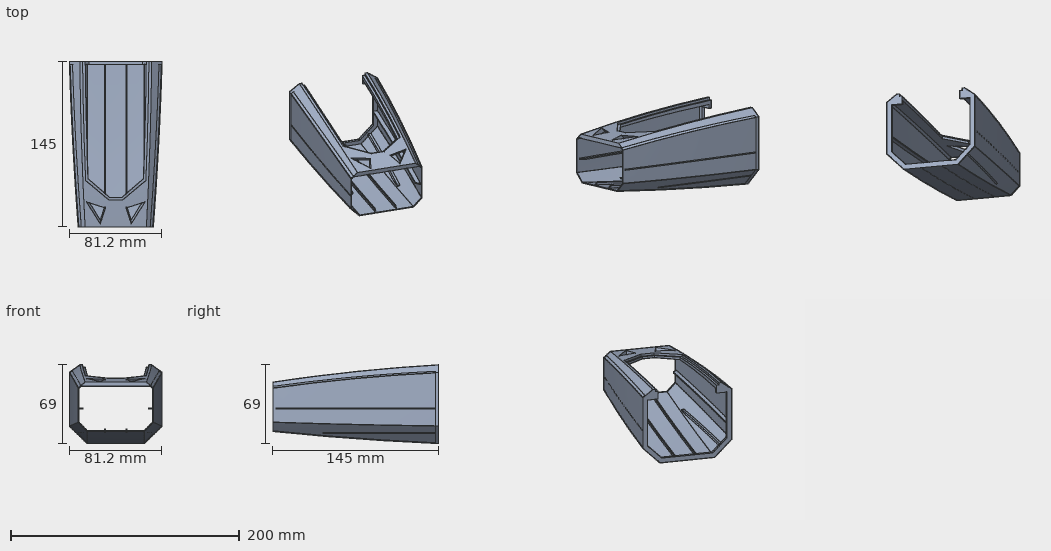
import cadquery as cq

LENGTH = 145.0

SIDE_X = (32.9, 40.615, 0.85)
TOP_EDGE_X = (26.8, 31.4, 0.8)
BOTTOM_EDGE_X = (25.0, 25.0, 0.0)
BOTTOM_Z = (10.6, 0.0, -1.1)
LOWER_CORNER_Z = (18.6, 15.3, -0.4)
UPPER_CORNER_Z = (48.7, 62.3, 1.7)
TOP_Z = (53.8, 69.0, 1.7)

WALL = 0.7
ROOF_THICKNESS = (3.7, 5.6, 0.0)

COLLAR_LENGTH = 2.7
COLLAR_HEIGHT = 3.7

LEDGE_WIDTH = 2.3
LEDGE_DEPTH = 2.0
RECESS_MARGIN = 2.4
RECESS_CORNER_Y = 40.7
RECESS_FRONT_Y = 23.8
RECESS_FRONT_HALF_WIDTH = 6.0
OPENING_CORNER_Y = 42.2
OPENING_FRONT_Y = RECESS_FRONT_Y + LEDGE_WIDTH
OPENING_FRONT_HALF_WIDTH = 5.5
OPENING_FLOOR_Z = 45.0

RIB_THICKNESS = 1.0
RIB_FRONT_Y = 2.4
SIDE_RIB_Z = 30.7
SIDE_RIB_HEIGHT = 4.0
FLOOR_RIB_X = 9.5
FLOOR_RIB_HEIGHT = 2.0
CORNER_RIB_Z = 9.2
CORNER_RIB_HEIGHT = 1.5
CORNER_RIB_FRONT_Y = 44.0

VENT_CORNERS = [(9.0, 16.8), (25.5, 21.9), (13.5, 2.9)]
VENT_TOP_Z = 60.0
VENT_DROP = 14.0
VENT_SLOPE = 1.0

FAR = 100.0


def along(profile, y):
    """Value of a (front, rear, bulge) profile at the distance y from the front end."""
    front, rear, bulge = profile
    t = y / LENGTH
    return front + (rear - front) * t + 4 * bulge * t * (1 - t)


def curve(profile, start, end, shift=0.0):
    """Start, middle and end points (y, value) of a profile, moved by shift."""
    return [(y, along(profile, y) + shift) for y in (start, (start + end) / 2, end)]


def section(y, inset=0.0):
    """Octagonal cross-section wire at y, moved inwards by inset."""
    right = [
        (along(BOTTOM_EDGE_X, y), along(BOTTOM_Z, y)),
        (along(SIDE_X, y), along(LOWER_CORNER_Z, y)),
        (along(SIDE_X, y), along(UPPER_CORNER_Z, y)),
        (along(TOP_EDGE_X, y), along(TOP_Z, y)),
    ]
    left = [(-x, z) for x, z in reversed(right)]
    outline = cq.Workplane("XZ", origin=(0, y, 0)).polyline(right + left).close()
    if inset:
        outline = outline.offset2D(-inset, "intersection")
    return outline.wires().val()


def tapered_body(inset=0.0):
    """Smooth loft through the front, middle and rear sections."""
    wires = [section(y, inset) for y in (0, LENGTH / 2, LENGTH)]
    return cq.Workplane(cq.Solid.makeLoft(wires))


def side_view_solid(lower, upper):
    """Full-width solid between a lower and an upper (y, z) curve."""
    return (
        cq.Workplane("YZ")
        .moveTo(*lower[0])
        .spline(lower[1:], includeCurrent=True)
        .lineTo(*upper[-1])
        .spline(upper[-2::-1], includeCurrent=True)
        .close()
        .extrude(FAR, both=True)
    )


def cavity():
    """Inner space: the body inset by the wall, closed above by the thicker roof."""
    roof_z = tuple(top - roof for top, roof in zip(TOP_Z, ROOF_THICKNESS))
    below_roof = side_view_solid(curve(TOP_Z, 0, LENGTH, -FAR), curve(roof_z, 0, LENGTH))
    return tapered_body(WALL).intersect(below_roof)


def collar():
    """Rear rim that narrows the cavity by the collar height on every side."""
    slab = (
        cq.Workplane("XY", origin=(0, LENGTH - COLLAR_LENGTH / 2, 0))
        .box(2 * FAR, COLLAR_LENGTH, 2 * FAR)
    )
    bore_wire = section(LENGTH, WALL + COLLAR_HEIGHT)
    bore = cq.Workplane(cq.Solid.extrudeLinear(bore_wire, [], cq.Vector(0, -LENGTH, 0)))
    bore_top = TOP_Z[1] - ROOF_THICKNESS[1] - COLLAR_HEIGHT
    above_bore = cq.Workplane("XY", origin=(0, 0, bore_top)).rect(4 * FAR, 4 * FAR).extrude(FAR)
    return tapered_body().intersect(slab).cut(bore.cut(above_bore))


def roof_outline(margin, corner_y, front_y, front_half_width):
    """Upright prism over a plan outline whose sides follow the roof edges."""
    side = [(x, y) for y, x in curve(TOP_EDGE_X, corner_y, LENGTH, -margin)]
    mirrored = [(-x, y) for x, y in side]
    return (
        cq.Workplane("XY", origin=(0, 0, OPENING_FLOOR_Z))
        .moveTo(front_half_width, front_y)
        .lineTo(*side[0])
        .spline(side[1:], includeCurrent=True)
        .lineTo(*mirrored[-1])
        .spline(mirrored[-2::-1], includeCurrent=True)
        .lineTo(-front_half_width, front_y)
        .close()
        .extrude(FAR)
    )


def ledge_recess():
    """Shallow recess around the roof opening, at a constant depth below the roof."""
    prism = roof_outline(RECESS_MARGIN, RECESS_CORNER_Y, RECESS_FRONT_Y, RECESS_FRONT_HALF_WIDTH)
    above_ledge = side_view_solid(curve(TOP_Z, 0, LENGTH, -LEDGE_DEPTH), curve(TOP_Z, 0, LENGTH, FAR))
    return prism.intersect(above_ledge)


def roof_opening():
    """Opening through the roof, inside the ledge and open at the rear end."""
    return roof_outline(
        RECESS_MARGIN + LEDGE_WIDTH, OPENING_CORNER_Y, OPENING_FRONT_Y, OPENING_FRONT_HALF_WIDTH
    )


def rib(plane, profile, inward, height):
    """Rib along a wall: rooted in the wall profile, height tall, with a 45 degree front end."""
    rear_y = LENGTH - COLLAR_LENGTH / 2
    root = curve(profile, RIB_FRONT_Y, rear_y, inward * WALL / 2)
    crest = curve(profile, RIB_FRONT_Y + height, rear_y, inward * (WALL + height))
    if plane == "XY":
        root = [(x, y) for y, x in root]
        crest = [(x, y) for y, x in crest]
    return (
        cq.Workplane(plane)
        .moveTo(*root[0])
        .spline(root[1:], includeCurrent=True)
        .lineTo(*crest[-1])
        .spline(crest[-2::-1], includeCurrent=True)
        .close()
        .extrude(RIB_THICKNESS / 2, both=True)
    )


def corner_rib():
    """Level rib on the +X lower slanted wall, its crest parallel to that wall."""
    length = LENGTH - COLLAR_LENGTH / 2 - CORNER_RIB_FRONT_Y
    wall_layer = tapered_body(WALL / 2).cut(tapered_body(WALL + CORNER_RIB_HEIGHT))
    level_slab = (
        cq.Workplane("XY")
        .box(FAR, length, RIB_THICKNESS, centered=False)
        .translate((BOTTOM_EDGE_X[0], CORNER_RIB_FRONT_Y, CORNER_RIB_Z - RIB_THICKNESS / 2))
    )
    return wall_layer.intersect(level_slab)


def vent():
    """Slanted triangular prism on the +X side that meets the roof surface at the vent corners."""
    points = []
    for x, y in VENT_CORNERS:
        rise = VENT_TOP_Z - along(TOP_Z, y)
        points.append(cq.Vector(x, y - rise / VENT_SLOPE, VENT_TOP_Z))
    outline = cq.Wire.makePolygon(points, close=True)
    slant = cq.Vector(0, VENT_DROP / VENT_SLOPE, -VENT_DROP)
    return cq.Workplane(cq.Solid.extrudeLinear(outline, [], slant))


def mirrored_pair(shape):
    """The shape together with its mirror image across X = 0."""
    return shape.union(shape.mirror("YZ"))


side_ribs = mirrored_pair(rib("XY", SIDE_X, -1, SIDE_RIB_HEIGHT).translate((0, 0, SIDE_RIB_Z)))
floor_ribs = mirrored_pair(rib("YZ", BOTTOM_Z, 1, FLOOR_RIB_HEIGHT).translate((FLOOR_RIB_X, 0, 0)))
corner_ribs = mirrored_pair(corner_rib())

result = (
    tapered_body()
    .cut(cavity())
    .union(collar())
    .union(side_ribs)
    .union(floor_ribs)
    .union(corner_ribs)
    .cut(roof_opening())
    .cut(ledge_recess())
    .cut(mirrored_pair(vent()))
)